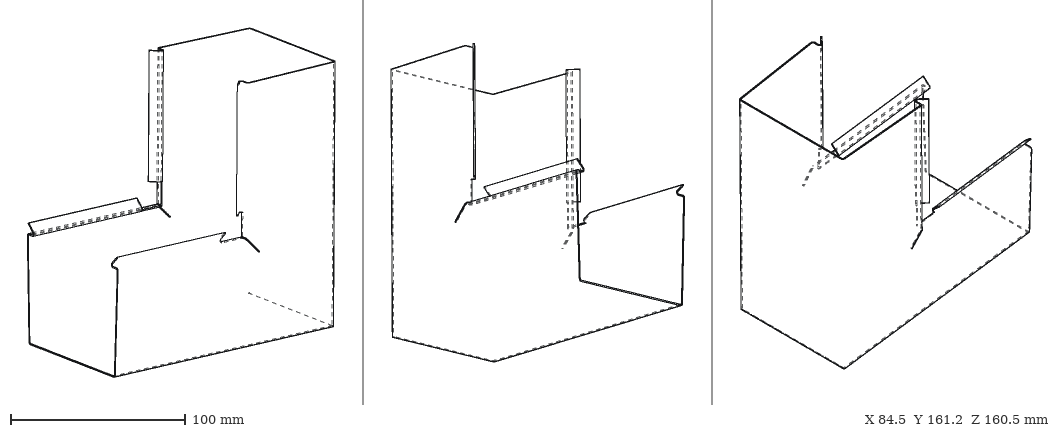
import cadquery as cq
import math

leg_length = 160.0
mouth_width = 84.6
back_width = 80.2
depth = 66.4
thickness = 0.8
bend_radius = 1.6
flange_reach = 4.7
lip_rise = 6.3
lip_length = 79.0
slit_run = 9.7
slit_width = 0.5
heel_radius = 1.5
tilt = 0.42

inner_radius = bend_radius - thickness
side_slope = (mouth_width - back_width) / 2 / depth


def tapered_bar(inset, corner_radius):
    """Solid channel envelope with every face moved inward by inset."""
    def half_width(height):
        return back_width / 2 + side_slope * height - inset * math.hypot(1, side_slope)

    low = inset
    high = depth - inset
    corners = [
        (-half_width(low), low),
        (half_width(low), low),
        (half_width(high), high),
        (-half_width(high), high),
    ]
    bar = cq.Workplane("XZ").polyline(corners).close().extrude(leg_length)
    return bar.edges("|Y").fillet(corner_radius)


def channel():
    """Tapered sheet channel, open between its two inward flanges."""
    opening = (
        cq.Workplane("XZ")
        .center(0, depth)
        .rect(mouth_width - 2 * flange_reach, 4 * thickness)
        .extrude(leg_length)
    )
    outside = tapered_bar(0, bend_radius)
    inside = tapered_bar(thickness, inner_radius)
    return outside.cut(inside).cut(opening)


def lip():
    """Lip on the +X flange: a 135 degree bend, then a round-ended flat folded back outward."""
    center_x = mouth_width / 2 - flange_reach
    center_z = depth + inner_radius

    def bend_point(radius, degrees):
        angle = math.radians(degrees)
        return (center_x + radius * math.cos(angle), center_z + radius * math.sin(angle))

    start, middle, finish = 270, 202.5, 135
    outer_end = bend_point(bend_radius, finish)
    inner_end = bend_point(inner_radius, finish)
    flat_run = depth + lip_rise - outer_end[1]
    middle_x, middle_z = bend_point(bend_radius - thickness / 2, finish)
    tip_run = flat_run + thickness / 2 * math.sqrt(0.5)
    tip = (middle_x + tip_run, middle_z + tip_run)
    return (
        cq.Workplane("XZ", origin=(0, lip_length - leg_length, 0))
        .moveTo(*bend_point(bend_radius, start))
        .threePointArc(bend_point(bend_radius, middle), outer_end)
        .line(flat_run, flat_run)
        .threePointArc(tip, (inner_end[0] + flat_run, inner_end[1] + flat_run))
        .lineTo(*inner_end)
        .threePointArc(bend_point(inner_radius, middle), bend_point(inner_radius, start))
        .close()
        .extrude(lip_length)
    )


def mitred_leg():
    """Leg along -Y, cut at 45 degrees through the outer corner."""
    right_lip = lip()
    leg = channel().union(right_lip).union(right_lip.mirror("YZ"))
    mitre_side = (
        cq.Workplane("YZ")
        .polyline([(0, 0), (-leg_length, 0), (-leg_length, leg_length)])
        .close()
        .extrude(mouth_width, both=True)
    )
    return leg.intersect(mitre_side)


def relief_slit():
    """Narrow cut along the mitre, running outward from the inner corner."""
    return (
        cq.Workplane("YZ")
        .center(-depth, depth)
        .transformed(rotate=(0, 0, -45))
        .rect(2 * slit_run * math.sqrt(2), slit_width)
        .extrude(mouth_width, both=True)
    )


def heel_waste():
    """Sliver outside the rounded outer corner."""
    near = heel_radius * (1 - math.sqrt(0.5))
    return (
        cq.Workplane("YZ")
        .lineTo(-heel_radius, 0)
        .threePointArc((-near, near), (0, heel_radius))
        .close()
        .extrude(mouth_width, both=True)
    )


lower_leg = mitred_leg()
elbow = lower_leg.union(lower_leg.mirror((0, 1, 1)))
elbow = elbow.cut(relief_slit()).cut(heel_waste())
result = elbow.rotate((0, 0, 0), (1, 0, 0), -tilt)